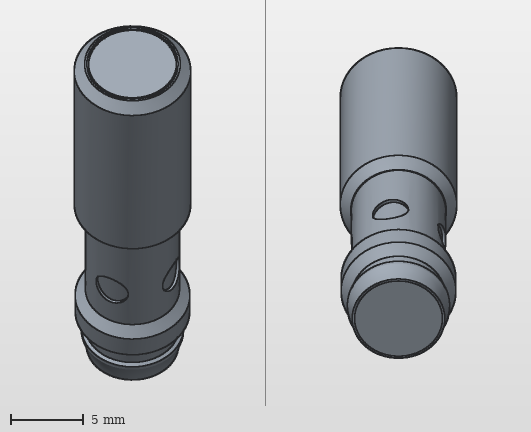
import cadquery as cq

total_height = 30.0

neck_radius = 3.25

barrel_radius = 8.0 / 2
barrel_bottom = 14.3
barrel_chamfer = 0.72

collar_radius = 7.9 / 2
collar_bottom = 2.9
collar_top = 6.0
collar_chamfer = collar_radius - neck_radius

lip_radius = 3.5
lip_top = 1.95
lip_shoulder = 1.8
lip_land_bottom = 1.5
lip_foot_radius = 3.18
lip_mid_height = lip_land_bottom / 2
lip_mid_radius = 3.3

bore_radius = 6.03 / 2
bore_chamfer = 0.12

window_count = 4
window_diameter = 2.5
window_height = 9.25

plug_bottom = barrel_bottom


def make_housing_blank():
    """Solid of revolution with the full outer outline of the housing."""
    barrel_edge_radius = barrel_radius - barrel_chamfer
    outline = (
        cq.Workplane("XZ")
        .lineTo(lip_foot_radius, 0)
        .threePointArc((lip_mid_radius, lip_mid_height), (lip_radius, lip_land_bottom))
        .lineTo(lip_radius, lip_shoulder)
        .lineTo(neck_radius, lip_top)
        .lineTo(neck_radius, collar_bottom)
        .lineTo(collar_radius, collar_bottom + collar_chamfer)
        .lineTo(collar_radius, collar_top - collar_chamfer)
        .lineTo(neck_radius, collar_top)
        .lineTo(neck_radius, barrel_bottom)
        .lineTo(barrel_edge_radius, barrel_bottom)
        .lineTo(barrel_radius, barrel_bottom + barrel_chamfer)
        .lineTo(barrel_radius, total_height - barrel_chamfer)
        .lineTo(barrel_edge_radius, total_height)
        .lineTo(0, total_height)
        .close()
    )
    return outline.revolve(360, (0, 0, 0), (0, 1, 0))


def cut_bore(body):
    """Through bore with a chamfered rim at the top."""
    profile = (
        cq.Workplane("XZ")
        .lineTo(bore_radius, 0)
        .lineTo(bore_radius, total_height - bore_chamfer)
        .lineTo(bore_radius + bore_chamfer, total_height)
        .lineTo(0, total_height)
        .close()
    )
    return body.cut(profile.revolve(360, (0, 0, 0), (0, 1, 0)))


def cut_windows(body):
    """Radial round windows from the outside of the neck into the bore."""
    for index in range(window_count):
        drill = (
            cq.Workplane("YZ")
            .center(0, window_height)
            .circle(window_diameter / 2)
            .extrude(barrel_radius)
            .rotate((0, 0, 0), (0, 0, 1), index * 360 / window_count)
        )
        body = body.cut(drill)
    return body


def make_bore_filling(bottom, top):
    """Plain cylinder that fills the bore between two heights."""
    return cq.Workplane("XY", origin=(0, 0, bottom)).circle(bore_radius).extrude(top - bottom)


housing = cut_windows(cut_bore(make_housing_blank()))
face_plug = make_bore_filling(plug_bottom, total_height)
window_insert = make_bore_filling(0, plug_bottom)

result = cq.Compound.makeCompound([housing.val(), face_plug.val(), window_insert.val()])